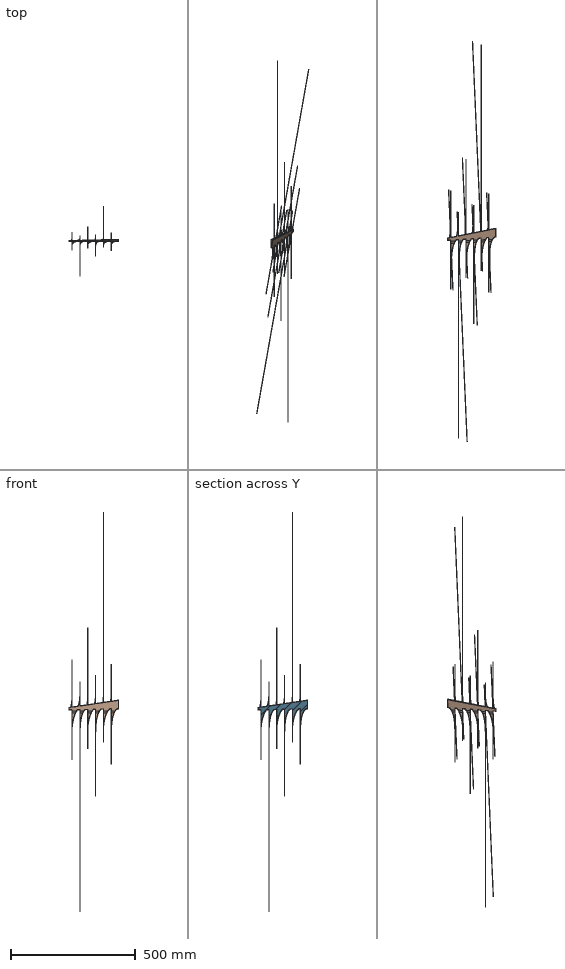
import cadquery as cq

SHEET = 0.74
TILT = 10.0

SPINE_LENGTH = 199.0
SPINE_LEFT = -SPINE_LENGTH / 2
SPINE_RIGHT = SPINE_LENGTH / 2
SPINE_LEFT_BOTTOM = 8.0
SPINE_LEFT_TOP = 18.0
SPINE_RIGHT_BOTTOM = 13.0
SPINE_RIGHT_TOP = 47.5

ARM_WIDTH = 1.0
ARM_EDGE = ARM_WIDTH / 2
ARM_PITCH = 31.4
FIRST_ARM_INSET = 12.6
FIRST_ARM_X = SPINE_LEFT + FIRST_ARM_INSET
LONGEST_REACH = 800.91
LONG_REACH = 336.5
MEDIUM_REACH = 209.5
MEDIUM_SHORT_REACH = 190.5
SHORT_REACH = 147.0
SHORTEST_REACH = 120.7
LEFT_ARMS = [
    (MEDIUM_REACH, MEDIUM_SHORT_REACH),
    (SHORTEST_REACH, LONGEST_REACH),
    (LONG_REACH, SHORT_REACH),
]
ARMS = LEFT_ARMS + [(down, up) for up, down in reversed(LEFT_ARMS)]

BROAD_FLARE_BELOW = [(26.5, 13.5), (6.5, -3.0), (ARM_EDGE, -60.0)]
TIGHT_FLARE_BELOW = [(28.0, 14.0), (1.5, 6.0), (ARM_EDGE, -85.0)]
BROAD_FLARE_ABOVE = [(-14.0, 15.0), (-3.0, 25.0), (-ARM_EDGE, 62.0)]
TIGHT_FLARE_ABOVE = [(-9.0, 14.0), (-2.0, 22.0), (-ARM_EDGE, 60.0)]


def sheet(outline):
    """Thicken a closed XZ outline evenly to both sides of Y = 0."""
    return outline.close().extrude(SHEET / 2, both=True)


def spine():
    corners = [
        (SPINE_LEFT, SPINE_LEFT_BOTTOM),
        (SPINE_RIGHT, SPINE_RIGHT_BOTTOM),
        (SPINE_RIGHT, SPINE_RIGHT_TOP),
        (SPINE_LEFT, SPINE_LEFT_TOP),
    ]
    return sheet(cq.Workplane("XZ").polyline(corners))


def arm(x, up, down):
    corners = [
        (x - ARM_EDGE, -down),
        (x + ARM_EDGE, -down),
        (x + ARM_EDGE, up),
        (x - ARM_EDGE, up),
    ]
    return sheet(cq.Workplane("XZ").polyline(corners))


def flare(x, curve):
    """Concave web between the spine and the arm centred on x."""
    start, control, end = [(x + offset, z) for offset, z in curve]
    outline = cq.Workplane("XZ").moveTo(*start).bezier([start, control, end])
    return sheet(outline.lineTo(x, end[1]).lineTo(x, start[1]))


def comb():
    body = spine()
    for index, (up, down) in enumerate(ARMS):
        x = FIRST_ARM_X + index * ARM_PITCH
        if index % 2 == 0:
            below, above = BROAD_FLARE_BELOW, TIGHT_FLARE_ABOVE
        else:
            below, above = TIGHT_FLARE_BELOW, BROAD_FLARE_ABOVE
        body = body.union(arm(x, up, down)).union(flare(x, below)).union(flare(x, above))
    return body.clean()


upright = comb()
tilted = upright.rotate((0, 0, 0), (1, 0, 0), -TILT)
result = upright.union(tilted)